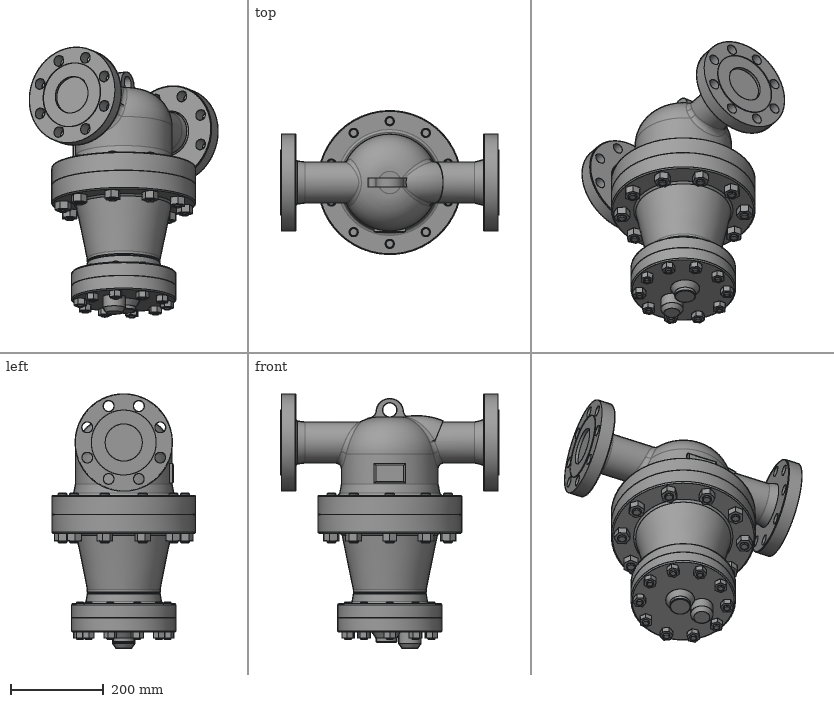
import cadquery as cq
import math


overall_length = 470.0
pipe_radius = 44.5
end_flange_radius = 210.0 / 2
end_flange_thickness = 31.0
end_flange_chamfer = 1.5
raised_face_radius = 140.0 / 2
raised_face_height = 1.5
bore_radius = 80.0 / 2
bore_depth = 6.5
hub_length = 20.0
hub_root_radius = 49.5
inlet_hub_radius = 46.5
inlet_hub_root_length = 3.5
end_hole_radius = 11.5
end_hole_circle_radius = 85.0
end_hole_count = 8
pipe_blend = 12.0

shell_radius = 104.0
dome_flat_radius = 24.0
dome_base_z = -25.0
dome_radius = shell_radius - dome_flat_radius
dome_top_z = dome_base_z + dome_radius
shell_bottom_z = -89.5

main_flange_radius = 155.0
main_flange_top_z = -114.5
main_flange_thickness = 40.5
main_root_radius = 108.0
main_root_blend = 6.0

cone_top_radius = 102.5
cone_top_blend = 4.5
neck_radius = 157.5 / 2
neck_top_z = -316.0
neck_bottom_z = -326.0
weld_radius = 77.0
weld_width = 2.0

lower_flange_radius = 225.0 / 2
lower_flange_top_z = -347.0
lower_flange_thickness = 30.5
lower_root_radius = 163.0 / 2
lower_root_blend = 4.5

upper_rim_chamfer = 1.5
lower_rim_chamfer = 3.0
joint_gap = 0.5
joint_depth = 5.5

bolt_count = 10
bolt_end_chamfer = 2.0

main_bolt_circle_radius = 132.0
main_stud_radius = 10.0
main_stud_rise = 5.5
main_nut_flats = 30.0
main_nut_height = 16.5
main_stud_tail = 4.0

lower_bolt_circle_radius = 94.0
lower_stud_radius = 16.0 / 2
lower_stud_rise = 4.0
lower_nut_flats = 24.0
lower_nut_height = 13.0
lower_stud_tail = 3.5

lug_thickness = 20.0
lug_radius = 29.5
lug_center_z = 65.0
lug_hole_radius = 30.0 / 2
lug_hole_z = 70.0
lug_foot_inner_x = 45.0
lug_foot_half_width = 47.0
lug_foot_z = 53.0
lug_root_z = 27.5

elbow_center_x = 57.5
elbow_center_z = -95.5
elbow_radius = 109.0
elbow_tilt = 22.0
elbow_sweep = 75.0

plate_width = 67.0
plate_height = 41.5
plate_center_z = -66.5
plate_front_y = -107.5
plate_bevel = 3.5
plate_bevel_depth = 2.0

drain_x = -7.0
drain_boss_top_radius = 31.0
drain_boss_height = 13.0
drain_plug_radius = 22.5
drain_plug_height = 9.0
drain_plug_chamfer = 1.5
outlet_x = 43.5
outlet_radius = 24.0
outlet_tip_radius = 17.0
outlet_chamfer_height = 10.0
overall_height = 548.0
bottom_z = end_flange_radius - overall_height

main_flange_bottom_z = main_flange_top_z - 2 * main_flange_thickness
lower_flange_bottom_z = lower_flange_top_z - 2 * lower_flange_thickness


def flange_pair(radius, top_z, thickness, top_chamfer):
    """Two bolted discs with chamfered outer rims and a narrow gap between their faces."""
    height = 2 * thickness
    pair = cq.Workplane("XY").workplane(offset=top_z - height).circle(radius).extrude(height)
    pair = pair.faces(">Z").chamfer(top_chamfer).faces("<Z").chamfer(lower_rim_chamfer)
    gap = (
        cq.Workplane("XY")
        .workplane(offset=top_z - thickness - joint_gap / 2)
        .circle(radius + joint_depth)
        .circle(radius - joint_depth)
        .extrude(joint_gap)
    )
    return pair.cut(gap)


def upper_shell():
    """Domed cap, cylinder and flared root, turned about Z."""
    dome_middle = math.radians(45)
    return (
        cq.Workplane("XZ")
        .moveTo(0, dome_top_z)
        .lineTo(dome_flat_radius, dome_top_z)
        .threePointArc(
            (
                dome_flat_radius + dome_radius * math.cos(dome_middle),
                dome_base_z + dome_radius * math.sin(dome_middle),
            ),
            (shell_radius, dome_base_z),
        )
        .lineTo(shell_radius, shell_bottom_z)
        .lineTo(main_root_radius, main_flange_top_z + main_root_blend)
        .tangentArcPoint((main_root_radius + main_root_blend, main_flange_top_z), relative=False)
        .lineTo(main_root_radius, main_flange_top_z - main_root_blend)
        .lineTo(0, main_flange_top_z - main_root_blend)
        .close()
        .revolve(360, (0, 0, 0), (0, 1, 0))
    )


def lower_shell():
    """Cone narrowing to a welded neck that flares onto the lower flange, turned about Z."""
    return (
        cq.Workplane("XZ")
        .moveTo(0, main_flange_bottom_z)
        .lineTo(cone_top_radius + cone_top_blend, main_flange_bottom_z)
        .lineTo(cone_top_radius, main_flange_bottom_z - cone_top_blend)
        .lineTo(neck_radius, neck_top_z)
        .lineTo(neck_radius, neck_bottom_z + 2 * weld_width)
        .lineTo(weld_radius, neck_bottom_z + weld_width)
        .lineTo(neck_radius, neck_bottom_z)
        .lineTo(lower_root_radius, lower_flange_top_z + lower_root_blend)
        .tangentArcPoint((lower_root_radius + lower_root_blend, lower_flange_top_z), relative=False)
        .lineTo(0, lower_flange_top_z)
        .close()
        .revolve(360, (0, 0, 0), (0, 1, 0))
    )


def pipe(side):
    """Plain pipe stub from the vessel axis to the end flange; side is +1 or -1."""
    length = overall_length / 2 - raised_face_height - end_flange_thickness / 2
    return cq.Workplane("YZ").circle(pipe_radius).extrude(side * length)


def end_flange(side):
    """Drilled end flange with raised face, shallow bore and tapered hub; side -1 is the inlet."""
    face_x = overall_length / 2
    rim_x = face_x - raised_face_height
    back_x = rim_x - end_flange_thickness
    hub = [(back_x - hub_length, pipe_radius), (back_x, hub_root_radius)]
    if side < 0:
        hub.insert(1, (back_x - inlet_hub_root_length, inlet_hub_radius))
    flange = (
        cq.Workplane("XY")
        .polyline([(back_x - hub_length, 0)] + hub)
        .lineTo(back_x, end_flange_radius - end_flange_chamfer)
        .lineTo(back_x + end_flange_chamfer, end_flange_radius)
        .lineTo(rim_x, end_flange_radius)
        .lineTo(rim_x, raised_face_radius)
        .lineTo(face_x, raised_face_radius)
        .lineTo(face_x, bore_radius)
        .lineTo(face_x - bore_depth, bore_radius)
        .lineTo(face_x - bore_depth, 0)
        .close()
        .revolve(360, (0, 0, 0), (1, 0, 0))
    )
    holes = (
        cq.Workplane("YZ")
        .workplane(offset=back_x)
        .polarArray(end_hole_circle_radius, 180 / end_hole_count, 360, end_hole_count)
        .circle(end_hole_radius)
        .extrude(end_flange_thickness)
    )
    flange = flange.cut(holes)
    return flange if side > 0 else flange.mirror("YZ")


def elbow():
    """Bent pipe that leaves the outlet along its tilt and curves down into the dome."""
    tilt = math.radians(elbow_tilt)
    start_x = elbow_center_x + elbow_radius * math.sin(tilt)
    start_z = elbow_center_z + elbow_radius * math.cos(tilt)
    section = cq.Plane(
        origin=(start_x, 0, start_z),
        xDir=(0, 1, 0),
        normal=(-math.cos(tilt), 0, math.sin(tilt)),
    )
    return (
        cq.Workplane(section)
        .circle(pipe_radius)
        .revolve(elbow_sweep, (0, elbow_radius, 0), (-1, elbow_radius, 0))
    )


def lifting_lug():
    """Upright eye plate with concave feet running out onto the dome."""
    drop = lug_center_z - lug_foot_z
    blend = (lug_foot_inner_x**2 + drop**2 - lug_radius**2) / (2 * (lug_radius + drop))
    share = lug_radius / (lug_radius + blend)
    tangent_x = share * lug_foot_inner_x
    tangent_z = lug_center_z + share * (blend - drop)
    return (
        cq.Workplane("XZ")
        .moveTo(-lug_foot_half_width, lug_root_z)
        .lineTo(-lug_foot_half_width, lug_foot_z)
        .lineTo(-lug_foot_inner_x, lug_foot_z)
        .tangentArcPoint((-tangent_x, tangent_z), relative=False)
        .threePointArc((0, lug_center_z + lug_radius), (tangent_x, tangent_z))
        .tangentArcPoint((lug_foot_inner_x, lug_foot_z), relative=False)
        .lineTo(lug_foot_half_width, lug_foot_z)
        .lineTo(lug_foot_half_width, lug_root_z)
        .close()
        .extrude(lug_thickness / 2, both=True)
    )


def lug_eye():
    """Cutter for the round eye, kept above the flat crown of the dome."""
    eye = (
        cq.Workplane("XZ")
        .center(0, lug_hole_z)
        .circle(lug_hole_radius)
        .extrude(lug_thickness / 2, both=True)
    )
    crown = cq.Workplane("XY").workplane(offset=dome_top_z)
    return eye.intersect(crown.rect(2 * lug_radius, 2 * lug_radius).extrude(lug_radius * 2))


def name_plate():
    """Bevelled rectangular pad on the front of the shell."""
    pad_depth = -plate_front_y - shell_radius / 2
    return (
        cq.Workplane("XZ", origin=(0, plate_front_y + pad_depth, plate_center_z))
        .rect(plate_width, plate_height)
        .extrude(pad_depth)
        .faces("<Y")
        .edges()
        .chamfer(plate_bevel_depth, plate_bevel)
    )


def bolt(top_z, underside_z, stud_radius, stud_rise, nut_flats, nut_height, stud_tail):
    """Stud standing proud of both flange faces, with a hex nut underneath, on the Z axis."""
    nut_bottom_z = underside_z - nut_height
    stud_bottom_z = nut_bottom_z - stud_tail
    nut_corners = nut_flats / math.cos(math.radians(30))
    nut = cq.Workplane("XY", origin=(0, 0, nut_bottom_z)).polygon(6, nut_corners).extrude(nut_height)
    stud = (
        cq.Workplane("XY", origin=(0, 0, stud_bottom_z))
        .circle(stud_radius)
        .extrude(top_z + stud_rise - stud_bottom_z)
        .faces("<Z or >Z")
        .edges()
        .chamfer(bolt_end_chamfer)
    )
    return stud.union(nut)


def add_bolts(target, single_bolt, circle_radius):
    """Join equally spaced bolts to the target, the first one on the +Y side."""
    placed = single_bolt.translate((circle_radius, 0, 0)).rotate((0, 0, 0), (0, 0, 1), 90)
    for index in range(bolt_count):
        target = target.union(placed.rotate((0, 0, 0), (0, 0, 1), index * 360 / bolt_count))
    return target


def bottom_fittings():
    """Central drain boss with its plug, and the larger chamfered outlet beside it."""
    cover_z = lower_flange_bottom_z
    plug_top_z = cover_z - drain_boss_height
    boss = cq.Solid.makeCone(
        drain_boss_top_radius,
        drain_plug_radius,
        drain_boss_height,
        cq.Vector(drain_x, 0, cover_z),
        cq.Vector(0, 0, -1),
    )
    plug = (
        cq.Workplane("XY", origin=(drain_x, 0, plug_top_z))
        .circle(drain_plug_radius)
        .extrude(-drain_plug_height)
        .faces("<Z")
        .chamfer(drain_plug_chamfer)
    )
    outlet = (
        cq.Workplane("XY", origin=(outlet_x, 0, cover_z))
        .circle(outlet_radius)
        .extrude(bottom_z - cover_z)
        .faces("<Z")
        .chamfer(outlet_chamfer_height, outlet_radius - outlet_tip_radius)
    )
    return plug.union(cq.Workplane(boss)).union(outlet)


body = upper_shell().union(pipe(1)).union(pipe(-1)).union(elbow())
body = body.edges("%BSPLINE").fillet(pipe_blend)

body = body.union(name_plate()).union(lifting_lug()).cut(lug_eye())
for side in (1, -1):
    body = body.union(end_flange(side))

body = body.union(
    flange_pair(main_flange_radius, main_flange_top_z, main_flange_thickness, upper_rim_chamfer)
)
body = body.union(lower_shell())
body = body.union(
    flange_pair(lower_flange_radius, lower_flange_top_z, lower_flange_thickness, lower_rim_chamfer)
)
body = body.union(bottom_fittings())

main_bolt = bolt(
    main_flange_top_z,
    main_flange_bottom_z,
    main_stud_radius,
    main_stud_rise,
    main_nut_flats,
    main_nut_height,
    main_stud_tail,
)
lower_bolt = bolt(
    lower_flange_top_z,
    lower_flange_bottom_z,
    lower_stud_radius,
    lower_stud_rise,
    lower_nut_flats,
    lower_nut_height,
    lower_stud_tail,
)
body = add_bolts(body, main_bolt, main_bolt_circle_radius)
body = add_bolts(body, lower_bolt, lower_bolt_circle_radius)

result = body